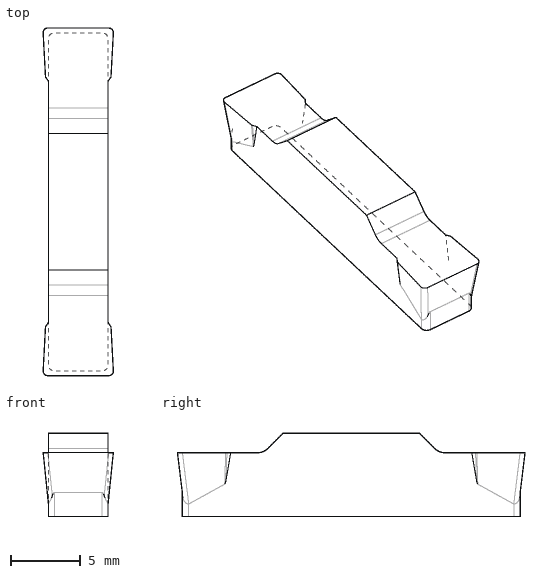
import cadquery as cq
import math

OVERALL_LENGTH = 24.85
BAR_WIDTH = 4.28
END_OVERHANG = 0.35
BAR_LENGTH = OVERALL_LENGTH - 2 * END_OVERHANG
BAR_CORNER_RADIUS = 0.45
LAND_HEIGHT = 4.57
RIDGE_HEIGHT = 5.97
RIDGE_TOP_LENGTH = 9.75
RIDGE_FOOT_LENGTH = RIDGE_TOP_LENGTH + 2 * (RIDGE_HEIGHT - LAND_HEIGHT)
RIDGE_FOOT_RADIUS = 1.05

HEAD_WIDTH = 5.07
HEAD_SHOULDER_WIDTH = 4.7
HEAD_LENGTH = 3.5
HEAD_CORNER_RADIUS = 0.35
SHOULDER_RADIUS = 0.17
SIDE_RELIEF_ANGLE = 5.5
END_RELIEF_ANGLE = 7.0
STEP_ANGLE = 34.0
STEP_LENGTH = 1.0
TIP_STOCK = 1.25


def make_bar():
    """Straight bar with rounded ends and the ridge blended into its lands."""
    bar = (
        cq.Workplane("XY")
        .rect(BAR_WIDTH, BAR_LENGTH)
        .extrude(LAND_HEIGHT)
        .edges("|Z")
        .fillet(BAR_CORNER_RADIUS)
    )
    ridge = (
        cq.Workplane("YZ")
        .moveTo(-RIDGE_FOOT_LENGTH / 2, LAND_HEIGHT)
        .lineTo(-RIDGE_TOP_LENGTH / 2, RIDGE_HEIGHT)
        .lineTo(RIDGE_TOP_LENGTH / 2, RIDGE_HEIGHT)
        .lineTo(RIDGE_FOOT_LENGTH / 2, LAND_HEIGHT)
        .close()
        .extrude(BAR_WIDTH / 2, both=True)
    )
    foot_y = RIDGE_FOOT_LENGTH / 2
    bar = bar.union(ridge)
    for side in (-1, 1):
        foot = cq.selectors.NearestToPointSelector((0, side * foot_y, LAND_HEIGHT))
        bar = bar.edges(foot).fillet(RIDGE_FOOT_RADIUS)
    return bar


def make_head():
    """Head at the -Y end, tapering inward from its top face."""
    tip_y = -OVERALL_LENGTH / 2
    shoulder_y = tip_y + HEAD_LENGTH
    rear_y = shoulder_y + STEP_LENGTH
    tip_x = HEAD_WIDTH / 2
    shoulder_x = HEAD_SHOULDER_WIDTH / 2
    rear_x = shoulder_x - STEP_LENGTH * math.tan(math.radians(STEP_ANGLE))
    stock_y = tip_y - TIP_STOCK
    stock_x = tip_x + TIP_STOCK * (tip_x - shoulder_x) / HEAD_LENGTH
    undercut_y = tip_y + LAND_HEIGHT * math.tan(math.radians(END_RELIEF_ANGLE))
    head = (
        cq.Workplane("XY", origin=(0, 0, LAND_HEIGHT))
        .polyline([
            (-stock_x, stock_y),
            (stock_x, stock_y),
            (shoulder_x, shoulder_y),
            (rear_x, rear_y),
            (-rear_x, rear_y),
            (-shoulder_x, shoulder_y),
        ])
        .close()
        .extrude(-LAND_HEIGHT, taper=SIDE_RELIEF_ANGLE)
    )
    end_limit = (
        cq.Workplane("YZ")
        .polyline([(tip_y, LAND_HEIGHT), (undercut_y, 0), (rear_y, 0), (rear_y, LAND_HEIGHT)])
        .close()
        .extrude(HEAD_WIDTH, both=True)
    )
    head = head.intersect(end_limit)
    mid_z = LAND_HEIGHT / 2
    for corner_y, corner_x, radius in (
        (tip_y, tip_x, HEAD_CORNER_RADIUS),
        (shoulder_y, shoulder_x, SHOULDER_RADIUS),
    ):
        for side in (-1, 1):
            edge = cq.selectors.NearestToPointSelector((side * corner_x, corner_y, mid_z))
            head = head.edges(edge).fillet(radius)
    return head


head = make_head()
opposite_head = head.mirror("XZ")
result = make_bar().union(head).union(opposite_head).clean()